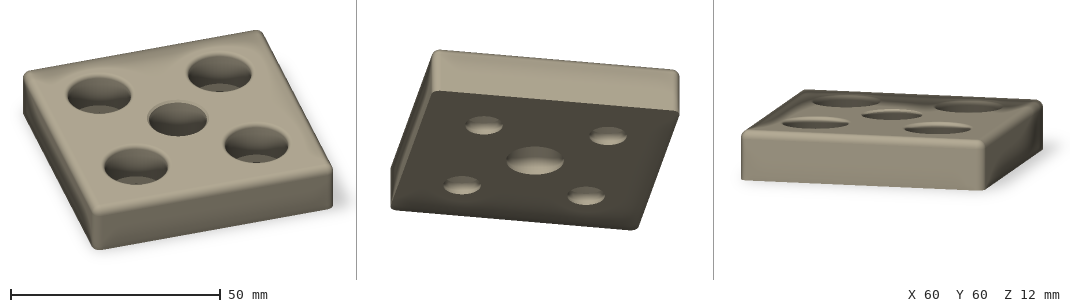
import cadquery as cq

side = 60.0
thickness = 12.0
edge_radius = 2.0

hole_spacing = 30.0
screw_diameter = 9.0
counterbore_diameter = 15.0
counterbore_depth = 9.0
counterbore_lip_radius = 1.0

center_diameter = 13.8
center_chamfer = 0.5


def rounded_plate():
    """Square plate with its upright edges and top rim rounded; base at Z = 0."""
    plate = cq.Workplane("XY").box(side, side, thickness, centered=(True, True, False))
    return plate.edges("|Z or >Z").fillet(edge_radius)


def counterbored_hole():
    """Cutter for one screw hole: through bore, counterbore and rounded lip."""
    bore_radius = screw_diameter / 2
    seat_radius = counterbore_diameter / 2
    lip_start = thickness - counterbore_lip_radius
    seat_height = thickness - counterbore_depth
    profile = (
        cq.Workplane("XZ")
        .lineTo(bore_radius, 0)
        .lineTo(bore_radius, seat_height)
        .lineTo(seat_radius, seat_height)
        .lineTo(seat_radius, lip_start)
        .radiusArc((seat_radius + counterbore_lip_radius, thickness), counterbore_lip_radius)
        .lineTo(0, thickness)
        .close()
    )
    return profile.revolve(360, (0, 0, 0), (0, 1, 0))


def center_hole():
    """Cutter for the central bore with a chamfered mouth."""
    radius = center_diameter / 2
    profile = (
        cq.Workplane("XZ")
        .lineTo(radius, 0)
        .lineTo(radius, thickness - center_chamfer)
        .lineTo(radius + center_chamfer, thickness)
        .lineTo(0, thickness)
        .close()
    )
    return profile.revolve(360, (0, 0, 0), (0, 1, 0))


result = rounded_plate().cut(center_hole())
for x_sign in (-1, 1):
    for y_sign in (-1, 1):
        position = (x_sign * hole_spacing / 2, y_sign * hole_spacing / 2, 0)
        result = result.cut(counterbored_hole().translate(position))